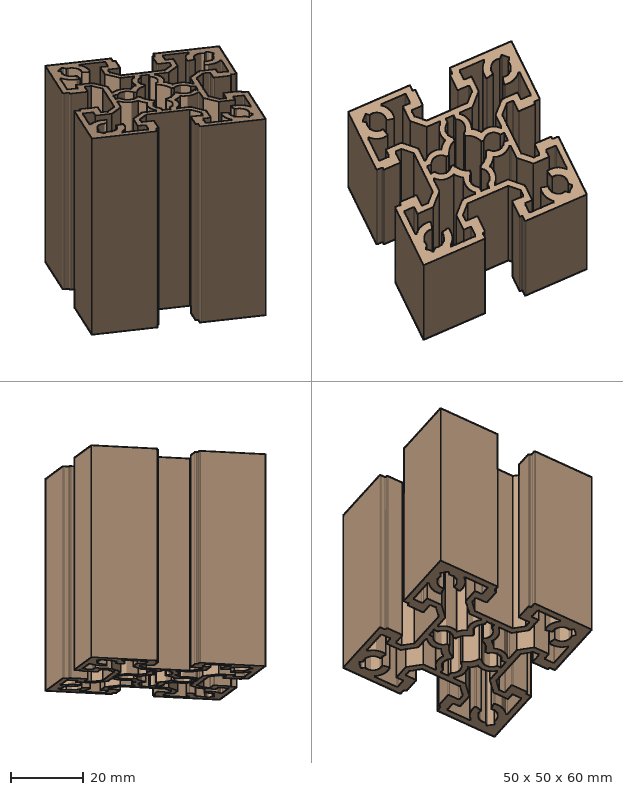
import cadquery as cq
import math

side = 50.0
length = 60.0
half_side = side / 2
wall = 1.8

mouth_half = 6.05
lip_half = 5.3
lip_depth = 6.95
cavity_half = 8.8
cavity_chamfer = 2.6
slot_depth = 11.45

jaw_half = 8.2
jaw_depth = 4.85
channel_half = 10.5
channel_chamfer = 3.55
floor_thickness = 1.75
channel_depth = slot_depth + floor_thickness

screw_radius = 2.75
relief_width = 2.4
relief_reach = 3.7

corner_inset = 6.0
corner_boss_radius = 5.05
corner_mouth_angle = 62.0
corner_distance = (half_side - corner_inset) * math.sqrt(2)

lobe_offset = 8.05
lobe_radius = 4.5
hub_radius = 7.3
hub_bore_radius = 5.15
lobe_mouth_width = 3.1

edge_radius = 0.25

quarter_turns = [0, 90, 180, 270]


def prism(points):
    return cq.Workplane("XY").polyline(points).close().extrude(length)


def cylinder(x, y, radius):
    return cq.Workplane("XY").center(x, y).circle(radius).extrude(length)


def bar(x_start, x_end, width):
    """Full-length bar along X, centred on the X axis."""
    return prism([
        (x_start, -width / 2),
        (x_end, -width / 2),
        (x_end, width / 2),
        (x_start, width / 2),
    ])


def channel_prism(half_outline):
    """Prism on the +X side, mirrored about the X axis, from (half width, depth) points."""
    upper = [(half_side - depth, half_width) for half_width, depth in half_outline]
    lower = [(x, -y) for x, y in reversed(upper)]
    return prism(upper + lower)


def at_angle(shape, angle):
    return shape.rotate((0, 0, 0), (0, 0, 1), angle)


def make_frame():
    outer = cq.Workplane("XY").rect(side, side).extrude(length)
    inner = cq.Workplane("XY").rect(side - 2 * wall, side - 2 * wall).extrude(length)
    return outer.cut(inner)


def make_channel():
    return channel_prism([
        (jaw_half, 0),
        (jaw_half, jaw_depth),
        (channel_half, jaw_depth),
        (channel_half, channel_depth - channel_chamfer),
        (channel_half - channel_chamfer, channel_depth),
    ])


def make_slot():
    return channel_prism([
        (mouth_half, 0),
        (mouth_half, wall),
        (lip_half, wall),
        (lip_half, lip_depth),
        (cavity_half, lip_depth),
        (cavity_half, slot_depth - cavity_chamfer),
        (cavity_half - cavity_chamfer, slot_depth),
    ])


def make_corner_boss():
    """Round screw boss backed by a square block, on the +X axis before turning to its corner."""
    half_diagonal = corner_inset / math.sqrt(2)
    block = prism([
        (corner_distance, 0),
        (corner_distance + half_diagonal, -half_diagonal),
        (corner_distance + 2 * half_diagonal, 0),
        (corner_distance + half_diagonal, half_diagonal),
    ])
    return cylinder(corner_distance, 0, corner_boss_radius).union(block)


def make_corner_bore():
    """Bore with an outward relief groove and a wedge mouth facing the axis."""
    bore = cylinder(corner_distance, 0, screw_radius)
    relief = bar(corner_distance, corner_distance + relief_reach, relief_width)
    mouth_spread = corner_boss_radius * math.tan(math.radians(corner_mouth_angle / 2))
    mouth = prism([
        (corner_distance, 0),
        (corner_distance - corner_boss_radius, mouth_spread),
        (corner_distance - corner_boss_radius, -mouth_spread),
    ])
    return bore.union(relief).union(mouth)


def make_lobe():
    """Round core lobe that overlaps the slot floor."""
    return cylinder(lobe_offset, 0, lobe_radius)


def make_lobe_bore():
    """Lobe bore with a relief groove to the slot floor and a mouth into the hub."""
    relief = bar(lobe_offset, half_side - channel_depth, relief_width)
    mouth = bar(0, lobe_offset, lobe_mouth_width)
    return cylinder(lobe_offset, 0, screw_radius).union(relief).union(mouth)


def slot_corners():
    """Corners to round at one slot, as (x, y) points on its +Y half."""
    return [
        (half_side, mouth_half),
        (half_side - wall, mouth_half),
        (half_side - wall, lip_half),
        (half_side - lip_depth, lip_half),
        (half_side - lip_depth, cavity_half),
        (half_side - wall, jaw_half),
        (half_side - jaw_depth, jaw_half),
    ]


def round_wall_joints():
    """Where a corner boss meets the outer wall and a lobe meets the slot floor."""
    boss_to_wall = math.sqrt(corner_boss_radius**2 - (corner_inset - wall) ** 2)
    lobe_to_floor = half_side - channel_depth - lobe_offset
    floor_joint_half = math.sqrt(lobe_radius**2 - lobe_to_floor**2)
    return [
        (half_side - wall, half_side - corner_inset - boss_to_wall),
        (half_side - channel_depth, floor_joint_half),
    ]


def relief_corners():
    """Closed end of a corner relief groove, before the 45 degree turn."""
    return [(corner_distance + relief_reach, relief_width / 2)]


def boss_tips():
    """Outer tip of a corner boss beside its mouth, before the 45 degree turn."""
    half_angle = math.radians(corner_mouth_angle / 2)
    return [(
        corner_distance - corner_boss_radius * math.cos(half_angle),
        corner_boss_radius * math.sin(half_angle),
    )]


def edge_at(long_edges, point, angle):
    """The lengthwise edge that passes through a point turned about the Z axis."""
    x, y = point
    turn = math.radians(angle)
    turned_x = x * math.cos(turn) - y * math.sin(turn)
    turned_y = x * math.sin(turn) + y * math.cos(turn)
    nearest = cq.selectors.NearestToPointSelector((turned_x, turned_y, length / 2))
    return long_edges.edges(nearest).val()


def round_edges(body, side_points, corner_points, radius):
    """Round the given edges, mirrored about each slot axis or corner diagonal."""
    long_edges = body.edges("|Z")
    edges = []
    for angle in quarter_turns:
        for mirror in [1, -1]:
            for x, y in side_points:
                edges.append(edge_at(long_edges, (x, mirror * y), angle))
            for x, y in corner_points:
                edges.append(edge_at(long_edges, (x, mirror * y), angle + 45))
    return body.newObject(edges).fillet(radius)


result = make_frame().union(cylinder(0, 0, hub_radius))

for angle in quarter_turns:
    result = result.union(at_angle(make_channel(), angle))
    result = result.union(at_angle(make_lobe(), angle))
    result = result.union(at_angle(make_corner_boss(), angle + 45))

result = result.cut(cylinder(0, 0, hub_bore_radius))

for angle in quarter_turns:
    result = result.cut(at_angle(make_slot(), angle))
    result = result.cut(at_angle(make_lobe_bore(), angle))
    result = result.cut(at_angle(make_corner_bore(), angle + 45))

result = round_edges(
    result,
    slot_corners() + round_wall_joints(),
    relief_corners() + boss_tips(),
    edge_radius,
)